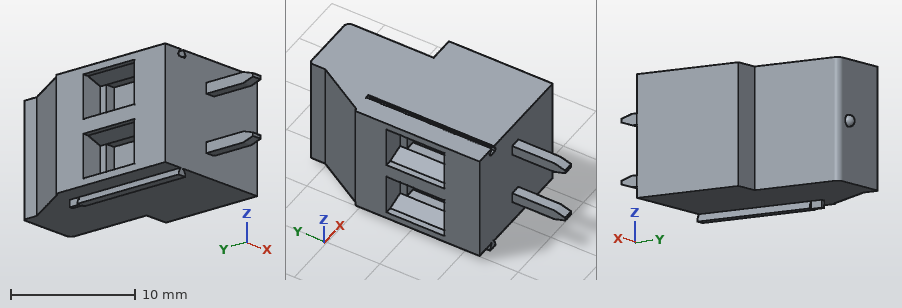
import cadquery as cq

width = 11.2
length = 18.0
height = 10.13
poles = 2
pitch = height / poles
shoulder_x = 3.05
shoulder_y = 16.5
foot_radius = 0.28
foot_y = 11.87
step_x = 8.85
step_y = 9.82
wire_side_radius = 0.3
step_side_radius = 0.5

bump_radius = 0.5
bump_x = 7.47

pin_length = 5.0
pin_size = 0.95
pin_x = 5.48
pin_taper = 1.0
pin_tip = 0.3

pocket_y_min = 3.34
pocket_y_max = 8.81
pocket_height = 3.8
lip_depth = 0.59
funnel_depth = 2.1
funnel_inset = 0.5
chamber_depth = 3.0
chamber_y_max = 8.15

joint_x = 2.05
joint_length = 11.9
groove_depth = 0.63
groove_shoulder_depth = 0.45
groove_neck = 0.35
groove_max_width = 0.9
groove_floor_width = 0.68
rail_depth = 0.63
rail_shoulder_depth = 0.38
rail_neck = 0.35
rail_shoulder_width = 0.75
rail_max_width = 0.85
key_length = 1.0


def make_housing():
    body = (
        cq.Workplane("XY")
        .moveTo(0, 0)
        .lineTo(width, 0)
        .lineTo(width, step_y)
        .lineTo(step_x, step_y)
        .lineTo(step_x, length)
        .lineTo(shoulder_x, length)
        .lineTo(shoulder_x, shoulder_y)
        .lineTo(foot_radius, foot_y)
        .radiusArc((0, foot_y - foot_radius), -foot_radius)
        .close()
        .extrude(height)
    )
    body = body.edges("|Z and >Y").edges("<X").fillet(wire_side_radius)
    return body.edges("|Z and >Y").edges(">X").fillet(step_side_radius)


def make_pocket(z):
    """Wire entry: straight lip, funnel narrowing in height, then a shorter chamber."""
    mouth = pocket_height / 2
    throat = mouth - funnel_inset
    section = [
        (0, z - mouth),
        (lip_depth, z - mouth),
        (funnel_depth, z - throat),
        (funnel_depth, z + throat),
        (lip_depth, z + mouth),
        (0, z + mouth),
    ]
    funnel = (
        cq.Workplane("XZ", origin=(0, pocket_y_max, 0))
        .polyline(section)
        .close()
        .extrude(pocket_y_max - pocket_y_min)
    )
    chamber = cq.Workplane("XY").box(
        chamber_depth, chamber_y_max - pocket_y_min, 2 * throat, centered=(False, False, True)
    )
    return funnel.union(chamber.translate((0, pocket_y_min, z)))


def make_pin(z):
    """Square pin reaching out of the base, its tip tapered in thickness only."""
    half = pin_size / 2
    half_tip = pin_tip / 2
    taper_y = pin_taper - pin_length
    side = [
        (0, z - half),
        (taper_y, z - half),
        (-pin_length, z - half_tip),
        (-pin_length, z + half_tip),
        (taper_y, z + half),
        (0, z + half),
    ]
    return cq.Workplane("YZ", origin=(pin_x - half, 0, 0)).polyline(side).close().extrude(pin_size)


def make_dovetail(top_z, stations, start_y, end_y):
    """Symmetric bar along Y; stations are (depth below top_z, width) pairs."""
    right = [(joint_x + w / 2, top_z - depth) for depth, w in stations]
    left = [(joint_x - w / 2, top_z - depth) for depth, w in reversed(stations)]
    section = cq.Workplane("XZ", origin=(0, end_y, 0)).polyline(right + left).close()
    return section.extrude(end_y - start_y)


result = make_housing()

groove_stations = [
    (0, groove_neck),
    (groove_shoulder_depth, groove_max_width),
    (groove_depth, groove_floor_width),
]
result = result.cut(make_dovetail(height, groove_stations, 0, joint_length))

rail_stations = [
    (0, rail_neck),
    (rail_shoulder_depth, rail_shoulder_width),
    (rail_depth, rail_max_width),
]
key_stations = [(0, rail_neck), (rail_depth, rail_neck)]
key_start = joint_length - key_length
result = result.union(make_dovetail(0, rail_stations, 0, key_start))
result = result.union(make_dovetail(0, key_stations, key_start, joint_length))

for pole in range(poles):
    pole_z = (pole + 0.5) * pitch
    result = result.cut(make_pocket(pole_z))
    result = result.union(make_pin(pole_z))

bump = cq.Workplane("XY").sphere(bump_radius).translate((bump_x, length, height / 2))
result = result.union(bump)